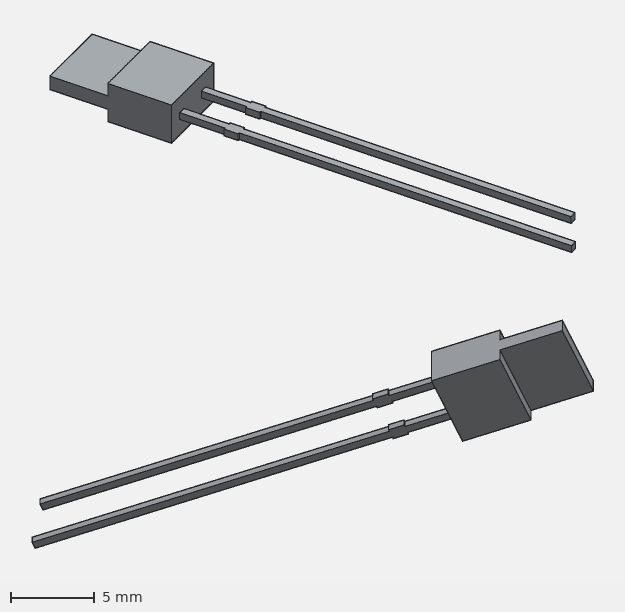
import cadquery as cq

total_length = 35.4
body_width = 5.0
body_height = 2.8

tab_length = 4.0
tab_height = 1.0
block_end = 8.4

lead_size = 0.5
lead_pitch = 2.55
short_lead_setback = 1.52

shoulder_start = 11.5
shoulder_length = 1.0
shoulder_width = 0.75


def bar(start, end, width, height, y_center=0.0):
    """Rectangular bar along X, centred on y_center and on Z = 0."""
    length = end - start
    return (
        cq.Workplane("XY")
        .box(length, width, height, centered=(False, True, True))
        .translate((start, y_center, 0))
    )


def lead(end, y_center):
    """Square lead with its flat shoulder, starting at the block's back face."""
    wire = bar(block_end, end, lead_size, lead_size, y_center)
    shoulder_end = shoulder_start + shoulder_length
    shoulder = bar(shoulder_start, shoulder_end, shoulder_width, lead_size, y_center)
    return wire.union(shoulder)


tab = bar(0, tab_length, body_width, tab_height)
block = bar(tab_length, block_end, body_width, body_height)
long_lead = lead(total_length, -lead_pitch / 2)
short_lead = lead(total_length - short_lead_setback, lead_pitch / 2)

result = tab.union(block).union(long_lead).union(short_lead)